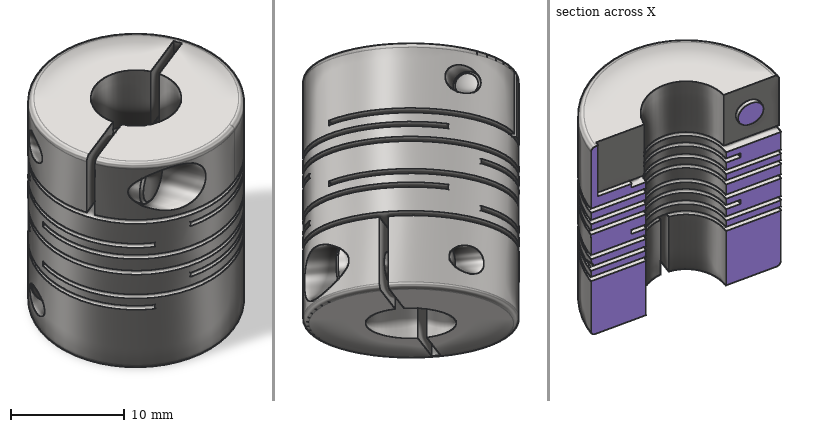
import cadquery as cq

OUTER_DIA = 19.1
LENGTH = 23.0
BORE_DIA = 8.0
EDGE_FILLET = 0.5

SLIT_WIDTH = 0.45
SLIT_REACH = 5.45
FIRST_SLIT_DEPTH = 6.44
PAIR_PITCH = 1.27
PAIR_STEP = 1.4
GROUP_STEP = 1.75
SLIT_STEPS = [0, PAIR_PITCH, PAIR_STEP, PAIR_PITCH, GROUP_STEP, PAIR_PITCH, PAIR_STEP, PAIR_PITCH]
SLIT_OPEN_SIDES = ["-Y", "+Y", "-X", "+X", "-Y", "+Y", "+X", "-X"]

SLOT_WIDTH = 0.8
SLOT_REACH = 8.8

SCREW_OFFSET = 6.5
SCREW_END_DISTANCE = 3.1
SCREW_DIA = 2.6
SCREW_CHAMFER = 0.25
HEAD_DIA = 4.5
HEAD_HEIGHT = 2.5
HEAD_TOP = 4.63
SHANK_LENGTH = 7.6
COUNTERBORE_DIA = 4.9

OUTER_RADIUS = OUTER_DIA / 2
HEAD_SEAT = HEAD_TOP - HEAD_HEIGHT
SCREW_TIP = HEAD_SEAT - SHANK_LENGTH

TURN_FROM_MINUS_Y = {"-Y": 0, "+X": 90, "+Y": 180, "-X": 270}


def turned(shape, angle):
    return shape.rotate((0, 0, 0), (0, 0, 1), angle)


def make_body():
    """Plain tube with rounded outer rims."""
    cylinder = cq.Workplane("XY").circle(OUTER_RADIUS).extrude(LENGTH)
    return cylinder.edges("%CIRCLE").fillet(EDGE_FILLET).faces(">Z").workplane().hole(BORE_DIA)


def slit_levels():
    """Height of the middle of every slit, from the top down."""
    level = LENGTH - FIRST_SLIT_DEPTH
    levels = []
    for step in SLIT_STEPS:
        level -= step
        levels.append(level)
    return levels


def slit_cutter(level, open_side):
    cutter = cq.Workplane("XY").box(
        OUTER_DIA, OUTER_RADIUS + SLIT_REACH, SLIT_WIDTH, centered=(True, False, True)
    )
    return turned(cutter.translate((0, -OUTER_RADIUS, level)), TURN_FROM_MINUS_Y[open_side])


def clamp_slot_cutter(bottom, top, open_side):
    cutter = cq.Workplane("XY").box(
        SLOT_WIDTH, OUTER_RADIUS + SLOT_REACH, top - bottom, centered=(True, False, False)
    )
    return turned(cutter.translate((0, -OUTER_RADIUS, bottom)), TURN_FROM_MINUS_Y[open_side])


def rod_along_x(diameter, start, end):
    return cq.Workplane("YZ").workplane(offset=start).circle(diameter / 2).extrude(end - start)


def screw_hole_cutter():
    """Through hole with a head counterbore, along X through the origin."""
    hole = rod_along_x(SCREW_DIA, -OUTER_RADIUS, OUTER_RADIUS)
    return hole.union(rod_along_x(COUNTERBORE_DIA, HEAD_SEAT, OUTER_RADIUS))


def make_screw():
    """Chamfered screw with its head toward +X, along X through the origin."""
    shank = rod_along_x(SCREW_DIA, SCREW_TIP, HEAD_TOP).faces("<X").chamfer(SCREW_CHAMFER)
    head = rod_along_x(HEAD_DIA, HEAD_SEAT, HEAD_TOP).faces(">X").chamfer(SCREW_CHAMFER)
    return shank.union(head)


def place_upper_screw(shape):
    """Along X, on the open -Y side of the upper clamp slot."""
    return shape.translate((0, -SCREW_OFFSET, LENGTH - SCREW_END_DISTANCE))


def place_lower_screw(shape):
    """Along Y with the head toward +Y, on the open -X side of the lower clamp slot."""
    return turned(shape, 90).translate((-SCREW_OFFSET, 0, SCREW_END_DISTANCE))


levels = slit_levels()
upper_hub_bottom = levels[0] + SLIT_WIDTH / 2
lower_hub_top = levels[-1] - SLIT_WIDTH / 2

result = make_body()
for slit_level, side in zip(levels, SLIT_OPEN_SIDES):
    result = result.cut(slit_cutter(slit_level, side))
result = result.cut(clamp_slot_cutter(upper_hub_bottom, LENGTH, "-Y"))
result = result.cut(clamp_slot_cutter(0, lower_hub_top, "-X"))
for place in (place_upper_screw, place_lower_screw):
    result = result.cut(place(screw_hole_cutter()))
    result = result.union(place(make_screw()))